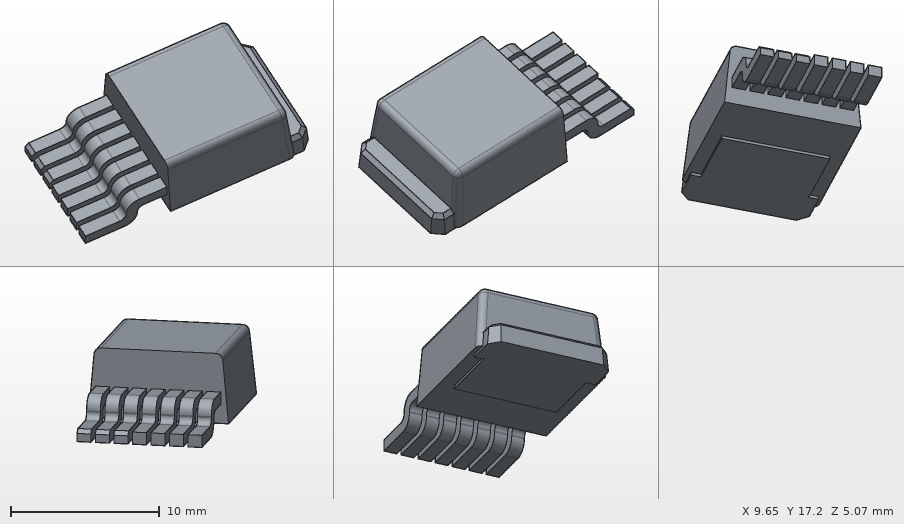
import cadquery as cq
import math


DRAFT = 5.2
HOUSING_WIDTH = 9.65
HOUSING_LENGTH = 9.6
HOUSING_BOTTOM = 0.25
HOUSING_TOP = 5.07
HOUSING_ROUND = 0.5

TAB_WIDTH = 9.02
TAB_REAR = 11.04
TAB_HEIGHT = 1.65
TAB_CORNER = 0.69
TAB_CHAMFER = 0.3
SHOULDER_Y = 8.3
PAD_WIDTH = 7.62
PAD_FRONT = 3.7

LEAD_COUNT = 7
LEAD_SPAN = 7.62
LEAD_PITCH = LEAD_SPAN / (LEAD_COUNT - 1)
LEAD_WIDTH = 0.95
LEAD_THICKNESS = 0.85
LEAD_TOP = 2.42
LEAD_REACH = 6.21
UPPER_FLAT = 2.09
INNER_BEND = 0.5
OUTER_BEND = 1.0
TIP_CHAMFER = 0.28
CHAMFERED_LEADS = 3


def make_tab():
    """Drafted tab with cut rear corners and a narrower pad running under the housing."""
    side = TAB_WIDTH / 2
    pad_side = PAD_WIDTH / 2
    outline = [
        (pad_side, PAD_FRONT),
        (pad_side, SHOULDER_Y),
        (side, SHOULDER_Y),
        (side, TAB_REAR - TAB_CORNER),
        (side - TAB_CORNER, TAB_REAR),
    ]
    mirrored = [(-x, y) for x, y in reversed(outline)]
    body = cq.Workplane("XY").polyline(outline + mirrored).close().extrude(TAB_HEIGHT, taper=DRAFT)
    return body.faces(">Z").chamfer(TAB_CHAMFER)


def make_housing(tab):
    """Drafted block with an upright front face, rounded edges and a recess that fits the tab."""
    height = HOUSING_TOP - HOUSING_BOTTOM
    inset = height * math.tan(math.radians(DRAFT))
    half_width = HOUSING_WIDTH / 2
    front_overrun = 2 * inset
    block = (
        cq.Workplane("XY", origin=(0, 0, HOUSING_BOTTOM))
        .moveTo(-half_width, -front_overrun)
        .lineTo(half_width, -front_overrun)
        .lineTo(half_width, HOUSING_LENGTH)
        .lineTo(-half_width, HOUSING_LENGTH)
        .close()
        .extrude(height, taper=DRAFT)
    )
    front_trim = cq.Workplane("XY").box(
        HOUSING_WIDTH, front_overrun, HOUSING_TOP, centered=(True, False, False)
    ).translate((0, -front_overrun, 0))
    block = block.cut(front_trim)
    rounded = block.edges("not (<Z or <Y)").fillet(HOUSING_ROUND)
    return rounded.cut(tab)


def lead_profile():
    """Side outline of a lead in the YZ plane: upper flat, upright part and foot with rounded bends."""
    outer_face = -UPPER_FLAT - OUTER_BEND
    inner_face = outer_face + LEAD_THICKNESS
    underside = LEAD_TOP - LEAD_THICKNESS
    return (
        cq.Workplane("YZ")
        .moveTo(0, LEAD_TOP)
        .lineTo(-UPPER_FLAT, LEAD_TOP)
        .tangentArcPoint((outer_face, LEAD_TOP - OUTER_BEND), relative=False)
        .lineTo(outer_face, LEAD_THICKNESS + INNER_BEND)
        .tangentArcPoint((outer_face - INNER_BEND, LEAD_THICKNESS), relative=False)
        .lineTo(-LEAD_REACH, LEAD_THICKNESS)
        .lineTo(-LEAD_REACH, 0)
        .lineTo(inner_face - OUTER_BEND, 0)
        .tangentArcPoint((inner_face, OUTER_BEND), relative=False)
        .lineTo(inner_face, underside - INNER_BEND)
        .tangentArcPoint((inner_face + INNER_BEND, underside), relative=False)
        .lineTo(0, underside)
        .close()
    )


def make_lead(center_x, chamfered):
    """One gull-wing lead, with the upper edge of its tip chamfered if asked for."""
    lead = lead_profile().extrude(LEAD_WIDTH / 2, both=True)
    if chamfered:
        lead = lead.faces("<Y").edges(">Z").chamfer(TIP_CHAMFER)
    return lead.translate((center_x, 0, 0))


tab = make_tab()
housing = make_housing(tab)
leads = [
    make_lead(index * LEAD_PITCH - LEAD_SPAN / 2, index < CHAMFERED_LEADS)
    for index in range(LEAD_COUNT)
]

result = cq.Compound.makeCompound([housing.val(), tab.val(), *[lead.val() for lead in leads]])